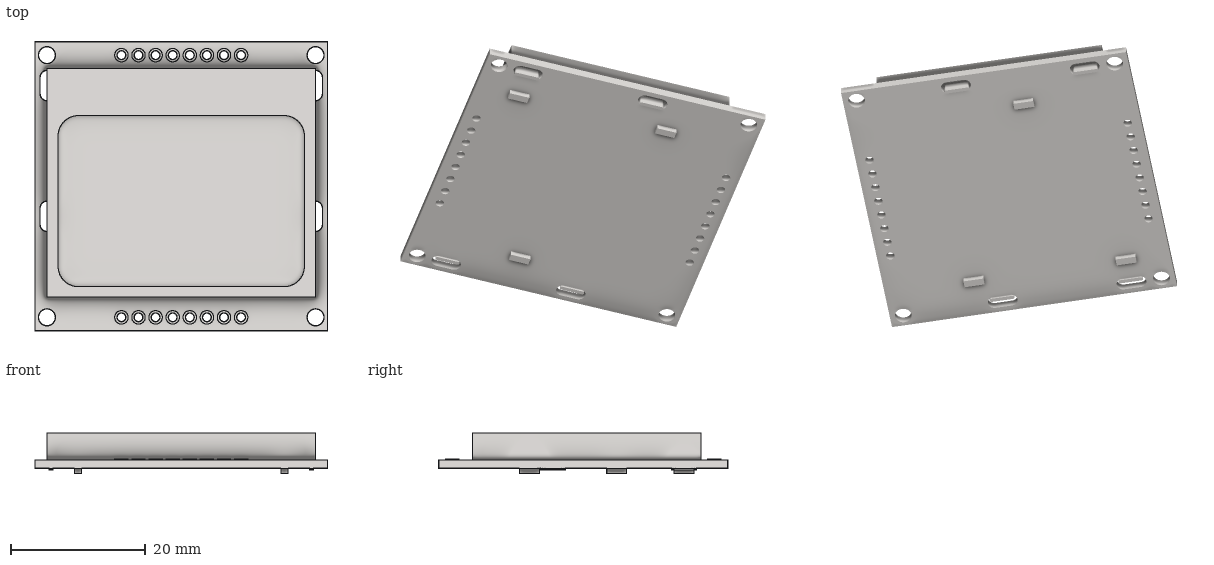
import cadquery as cq

BOARD_LENGTH = 43.5
BOARD_WIDTH = 43.0
BOARD_THICKNESS = 1.25

MOUNT_HOLE_DIAMETER = 2.5
MOUNT_X = 19.95
HEADER_Y = 19.5
PAD_COUNT = 8
HEADER_SPAN = 17.8
PAD_PITCH = HEADER_SPAN / (PAD_COUNT - 1)
PAD_DIAMETER = 2.0
PAD_HOLE_DIAMETER = 1.25
PAD_HEIGHT = 0.1

HOUSING_LENGTH = 2 * MOUNT_X
HOUSING_WIDTH = 34.0
HOUSING_HEIGHT = 4.0
HOUSING_Y = 0.52

WINDOW_LENGTH = 36.63
WINDOW_WIDTH = 25.45
WINDOW_RADIUS = 3.05
WINDOW_Y = -2.2
WINDOW_DEPTH = 0.52

SLOT_LENGTH = 4.5
SLOT_WIDTH = 2.0
SLOT_X = MOUNT_X
TAB_LENGTH = 3.75
TAB_THICKNESS = 0.55
TAB_X = 19.35
TAB_PROTRUSION = 0.2
TAB_ROWS_Y = (14.95, -4.5)

LAMP_LENGTH = 3.0
LAMP_WIDTH = 1.1
LAMP_HEIGHT = 0.8
LAMP_X = 15.35
LAMP_CENTERS = ((-LAMP_X, 14.95), (LAMP_X, 4.95), (-LAMP_X, -8.0))

SIDES = (-1, 1)


def sided_points(x):
    """Points at each tab row, on both sides of the board."""
    return [(side * x, y) for side in SIDES for y in TAB_ROWS_Y]


def header_points():
    """Pad centres of the two header rows."""
    first_x = -HEADER_SPAN / 2
    return [(first_x + i * PAD_PITCH, y) for y in (-HEADER_Y, HEADER_Y) for i in range(PAD_COUNT)]


def make_board():
    """Drilled and slotted board with raised solder pads."""
    board = (
        cq.Workplane("XY")
        .box(BOARD_LENGTH, BOARD_WIDTH, BOARD_THICKNESS, centered=(True, True, False))
        .translate((0, 0, -BOARD_THICKNESS))
    )
    pads = cq.Workplane("XY").pushPoints(header_points()).circle(PAD_DIAMETER / 2).extrude(PAD_HEIGHT)
    pad_holes = (
        cq.Workplane("XY", origin=(0, 0, -BOARD_THICKNESS))
        .pushPoints(header_points())
        .circle(PAD_HOLE_DIAMETER / 2)
        .extrude(BOARD_THICKNESS + PAD_HEIGHT)
    )
    mount_holes = (
        cq.Workplane("XY")
        .rect(2 * MOUNT_X, 2 * HEADER_Y, forConstruction=True)
        .vertices()
        .circle(MOUNT_HOLE_DIAMETER / 2)
        .extrude(-BOARD_THICKNESS)
    )
    slots = (
        cq.Workplane("XY")
        .pushPoints(sided_points(SLOT_X))
        .slot2D(SLOT_LENGTH, SLOT_WIDTH, 90)
        .extrude(-BOARD_THICKNESS)
    )
    return board.union(pads).cut(pad_holes).cut(mount_holes).cut(slots)


def make_housing():
    """Display block with a shallow screen window and four round-ended tabs underneath."""
    block = (
        cq.Workplane("XY")
        .box(HOUSING_LENGTH, HOUSING_WIDTH, HOUSING_HEIGHT, centered=(True, True, False))
        .translate((0, HOUSING_Y, 0))
    )
    window = (
        cq.Workplane("XY", origin=(0, WINDOW_Y, HOUSING_HEIGHT - WINDOW_DEPTH))
        .rect(WINDOW_LENGTH, WINDOW_WIDTH)
        .extrude(WINDOW_DEPTH)
        .edges("|Z")
        .fillet(WINDOW_RADIUS)
    )
    tabs = (
        cq.Workplane("XY")
        .pushPoints(sided_points(TAB_X))
        .slot2D(TAB_LENGTH, TAB_THICKNESS, 90)
        .extrude(-(BOARD_THICKNESS + TAB_PROTRUSION))
    )
    return block.cut(window).union(tabs)


def make_lamp(center):
    """Small rectangular lamp hanging from the board's underside."""
    return (
        cq.Workplane("XY", origin=(*center, -BOARD_THICKNESS))
        .rect(LAMP_WIDTH, LAMP_LENGTH)
        .extrude(-LAMP_HEIGHT)
    )


board = make_board()
housing = make_housing()
lamps = [make_lamp(center) for center in LAMP_CENTERS]

result = cq.Compound.makeCompound([board.val(), housing.val(), *[lamp.val() for lamp in lamps]])